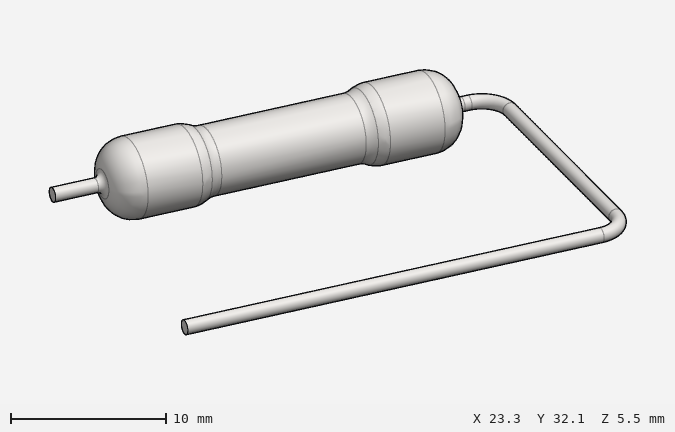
import cadquery as cq
import math

lead_diameter = 1.0
cap_diameter = 5.5
waist_diameter = 4.7
total_length = 32.1
lead_pitch = 20.0
bend_radius = 2.0

body_start = 3.53
body_length = 25.1
cap_end_radius = 2.0
cap_straight = 3.9
shoulder_length = 1.55
flare_length = 0.5
flare_radius = 1.0

lead_radius = lead_diameter / 2
cap_radius = cap_diameter / 2
waist_radius = waist_diameter / 2
body_middle = body_start + body_length / 2
lead_top = total_length - lead_radius
diagonal = math.sqrt(0.5)


def half_body():
    """Revolve the lower half of the body, from its flared end to its middle."""
    dome_end = body_start + cap_end_radius
    cap_end = dome_end + cap_straight
    waist_start = cap_end + shoulder_length
    shoulder_middle = ((cap_radius + waist_radius) / 2, (cap_end + waist_start) / 2)
    dome_center = cap_radius - cap_end_radius
    rim = dome_end - math.sqrt(cap_end_radius**2 - (flare_radius - dome_center) ** 2)
    dome_middle = (dome_center + cap_end_radius * diagonal, dome_end - cap_end_radius * diagonal)
    flare_start = rim - flare_length
    flare_width = flare_radius - lead_radius
    flare_middle = (flare_radius - flare_width * diagonal, rim - flare_length * (1 - diagonal))
    profile = (
        cq.Workplane("XY")
        .moveTo(0, flare_start)
        .lineTo(lead_radius, flare_start)
        .threePointArc(flare_middle, (flare_radius, rim))
        .threePointArc(dome_middle, (cap_radius, dome_end))
        .lineTo(cap_radius, cap_end)
        .tangentArcPoint(shoulder_middle, relative=False)
        .tangentArcPoint((waist_radius, waist_start), relative=False)
        .lineTo(waist_radius, body_middle)
        .lineTo(0, body_middle)
        .close()
    )
    return profile.revolve(360, (0, 0, 0), (0, 1, 0))


def bent_lead():
    """Sweep the lead through the body, over both bends and back down."""
    bend_start = lead_top - bend_radius
    bend_offset = bend_radius * (1 - diagonal)
    path = (
        cq.Workplane("XY")
        .lineTo(0, bend_start)
        .threePointArc((bend_offset, lead_top - bend_offset), (bend_radius, lead_top))
        .lineTo(lead_pitch - bend_radius, lead_top)
        .threePointArc((lead_pitch - bend_offset, lead_top - bend_offset), (lead_pitch, bend_start))
        .lineTo(lead_pitch, 0)
    )
    return cq.Workplane("XZ").circle(lead_radius).sweep(path)


lower_half = half_body()
upper_half = lower_half.mirror("XZ", (0, body_middle, 0))
result = lower_half.union(upper_half).union(bent_lead())